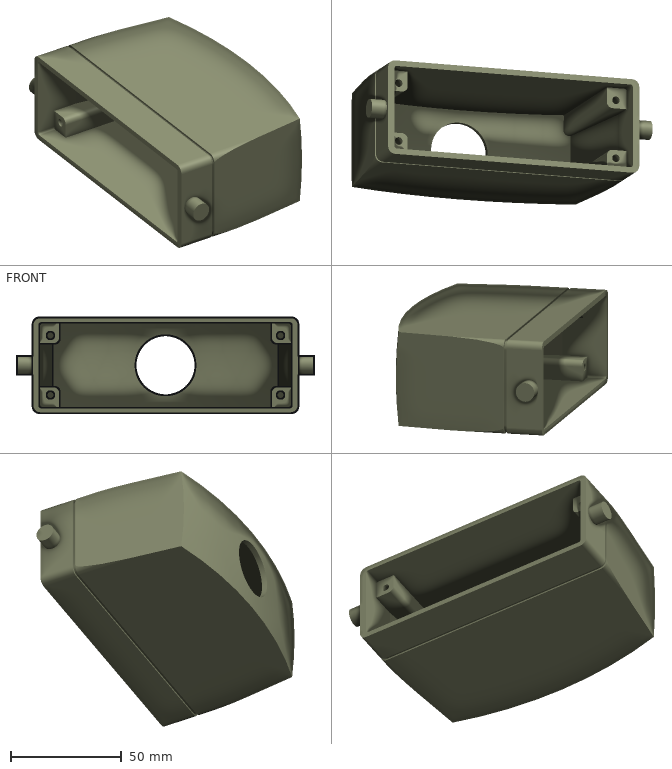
import cadquery as cq
import math

span_over_pins = 134.5
hood_width = 120.4
hood_height = 43.5
hood_depth = 77.5
corner_radius = 3.4

crown_radius = 193.7
roof_half_width = 53.4
taper_start = 17.9

groove_bottom = 16.5
groove_depth = 0.8

end_wall = 3.1
side_wall = 2.5
roof_thickness = 2.5
cavity_corner_radius = 1.1
cavity_taper_start = 20.5
cable_hole_diameter = 27.0

post_recess = 8.7
post_inner_x = 47.7
post_inner_z = 9.7
post_edge_radius = 2.7
screw_x = 52.0
screw_z = 13.5
screw_hole_diameter = 3.5
screw_hole_depth = 13.5

pin_diameter = 8.6
pin_y = 6.0

half_width = hood_width / 2
pin_length = span_over_pins / 2 - half_width
cavity_half_width = half_width - end_wall
cavity_height = hood_height - 2 * side_wall
crown_center_y = hood_depth - crown_radius
roof_corner_y = crown_center_y + math.sqrt(crown_radius**2 - roof_half_width**2)
taper_slope = (half_width - roof_half_width) / (roof_corner_y - taper_start)


def along_y(start_y):
    """Workplane in XZ whose extrusions run toward +Y."""
    return cq.Workplane("XZ", origin=(0, start_y, 0))


def rounded_block(width, height, radius, start_y, end_y):
    block = along_y(start_y).rect(width, height).extrude(start_y - end_y)
    return block.edges("|Y").fillet(radius)


def tapered_envelope(half_base, bend_y):
    """Prism with straight ends up to bend_y and ends that lean inward above it."""
    half_top = half_base - taper_slope * (hood_depth - bend_y)
    outline = [
        (-half_base, 0),
        (half_base, 0),
        (half_base, bend_y),
        (half_top, hood_depth),
        (-half_top, hood_depth),
        (-half_base, bend_y),
    ]
    return cq.Workplane("XY").polyline(outline).close().extrude(hood_height / 2, both=True)


def crowned_shell_volume(width, height, radius, bend_y, roof_offset):
    """Rounded block with tapered ends and a spherical crown."""
    block = rounded_block(width, height, radius, 0, hood_depth)
    crown = cq.Workplane("XY").sphere(crown_radius - roof_offset).translate((0, crown_center_y, 0))
    return block.intersect(tapered_envelope(width / 2, bend_y)).intersect(crown)


def groove():
    outer = along_y(groove_bottom).rect(hood_width, hood_height).extrude(groove_bottom - taper_start)
    core = rounded_block(
        hood_width - 2 * groove_depth,
        hood_height - 2 * groove_depth,
        corner_radius,
        groove_bottom,
        taper_start,
    )
    return outer.cut(core)


def crowned_cavity():
    return crowned_shell_volume(
        2 * cavity_half_width, cavity_height, cavity_corner_radius, cavity_taper_start, roof_thickness
    )


def corner_post(side_x, side_z):
    """Post that fills one corner of the cavity up to the roof, with a blind screw hole."""
    width = half_width - post_inner_x
    height = hood_height / 2 - post_inner_z
    post = (
        along_y(post_recess)
        .center(side_x * (post_inner_x + width / 2), side_z * (post_inner_z + height / 2))
        .rect(width, height)
        .extrude(post_recess - hood_depth)
    )
    inner_edge = cq.selectors.NearestToPointSelector(
        (side_x * post_inner_x, (post_recess + hood_depth) / 2, side_z * post_inner_z)
    )
    post = post.edges("|Y").edges(inner_edge).fillet(post_edge_radius)
    screw_hole = (
        along_y(post_recess)
        .center(side_x * screw_x, side_z * screw_z)
        .circle(screw_hole_diameter / 2)
        .extrude(-screw_hole_depth)
    )
    return post.intersect(crowned_cavity()).cut(screw_hole)


def locking_pin(side_x):
    """Pin that is part of the housing and stands on one end of the collar."""
    return (
        cq.Workplane("YZ", origin=(side_x * half_width, pin_y, 0))
        .circle(pin_diameter / 2)
        .extrude(side_x * pin_length)
    )


def hood_housing():
    body = crowned_shell_volume(hood_width, hood_height, corner_radius, taper_start, 0)
    cable_hole = along_y(0).circle(cable_hole_diameter / 2).extrude(-hood_depth)
    body = body.cut(groove()).cut(crowned_cavity()).cut(cable_hole)
    for side_x in (-1, 1):
        body = body.union(locking_pin(side_x))
    return body


housing = hood_housing()
corner_posts = [corner_post(side_x, side_z) for side_x in (-1, 1) for side_z in (-1, 1)]

result = cq.Compound.makeCompound([housing.solids().val(), *[post.solids().val() for post in corner_posts]])